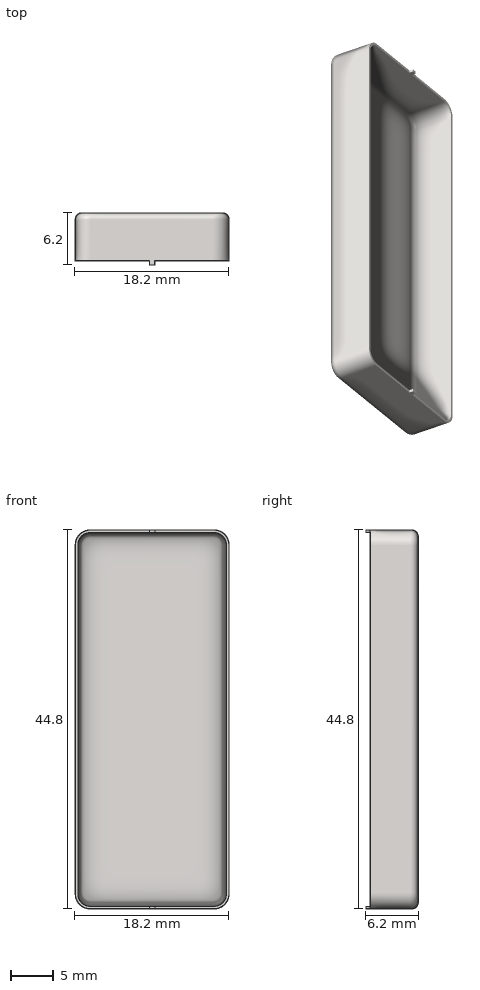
import cadquery as cq

width = 18.2
height = 44.8
total_depth = 6.2

wall = 0.3
corner_radius = 1.8
back_edge_radius = 0.8

tab_length = 0.5
tab_width = 0.63
tab_thickness = wall

tray_depth = total_depth - tab_length
rim_y = -total_depth / 2 + tab_length
back_y = total_depth / 2


def rounded_block(inset):
    """Tray outline offset inwards, with a rounded edge around its back."""
    return (
        cq.Workplane("XZ", origin=(0, back_y - inset, 0))
        .rect(width - 2 * inset, height - 2 * inset)
        .extrude(tray_depth - inset)
        .edges("|Y")
        .fillet(corner_radius - inset)
        .faces(">Y")
        .edges()
        .fillet(back_edge_radius - inset)
    )


def rim_tab(side):
    """Tab flush with the outer end face; side is +1 for the top, -1 for the bottom."""
    tab_z = side * (height - tab_thickness) / 2
    return (
        cq.Workplane("XZ", origin=(0, rim_y, tab_z))
        .rect(tab_width, tab_thickness)
        .extrude(tab_length)
    )


result = rounded_block(0).cut(rounded_block(wall))
for end in (1, -1):
    result = result.union(rim_tab(end))